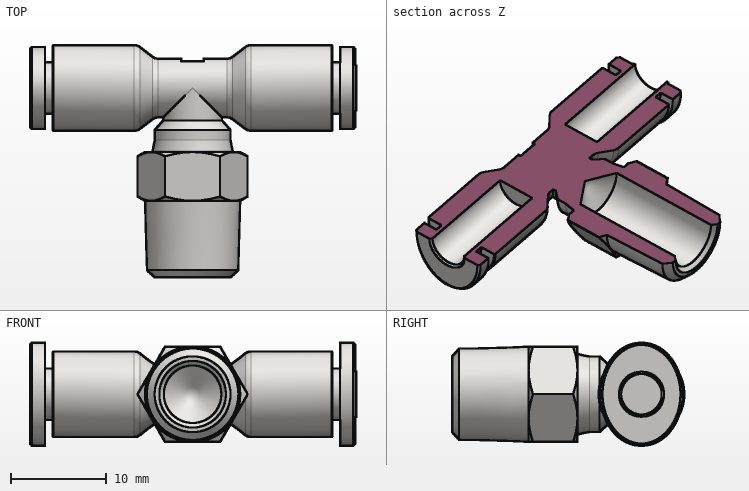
import cadquery as cq
import math


overall_length = 34.2
overall_depth = 24.3

neck_radius = 3.08
sleeve_diameter = 9.0
sleeve_radius = sleeve_diameter / 2
arm_start = 1.7
shoulder_start = 3.95
shoulder_end = 5.78
shoulder_fillet = 1.0
sleeve_end = 14.65
sleeve_edge_chamfer = 0.1

notch_width = 2.33
notch_depth = 0.27

stem_radius = 2.7
cap_inner = 15.42
cap_outer = 17.03
cap_width = 8.62
cap_height = 10.8
cap_chamfer = 0.25

socket_radius = 2.12
socket_chamfer = 0.25
socket_bottom = 5.47
lip_radius = socket_radius + socket_chamfer
lip_end = overall_length - cap_outer

flare_start = 3.4
collar_start = 4.38
collar_end = 5.45
collar_base = 6.6
hex_start = 6.7
hex_end = 11.8
branch_end = overall_depth - sleeve_radius
collar_radius = 3.97
collar_base_radius = 4.2
hex_flats = 10.0
hex_corners = hex_flats / math.cos(math.radians(30))
hex_chamfer_angle = 30

thread_root_radius = 5.0
thread_tip_radius = 4.8
tip_chamfer_length = 0.75
tip_face_radius = 3.97

bore_radius = 3.0
bore_mouth_radius = 3.5
bore_bottom = hex_start
drill_point_angle = 118


def revolve_on_run(points):
    """Revolve an (X, radius) outline around the X axis."""
    return cq.Workplane("XY").polyline(points).close().revolve(360, (0, 0), (1, 0))


def revolve_on_branch(points):
    """Revolve a (radius, distance) outline around the branch axis, distance running along -Y."""
    outline = [(radius, -distance) for radius, distance in points]
    return cq.Workplane("XY").polyline(outline).close().revolve(360, (0, 0), (0, 1))


def ring_edges_at(x):
    """Select the circular edges centred on the X axis at the given X."""
    reach = 0.05
    return cq.selectors.BoxSelector((x - reach, -reach, -reach), (x + reach, reach, reach))


def make_arm():
    """One arm on +X: neck, conical shoulder, sleeve, stem and oval cap."""
    sleeve = revolve_on_run([
        (arm_start, 0),
        (arm_start, neck_radius),
        (shoulder_start, neck_radius),
        (shoulder_end, sleeve_radius),
        (sleeve_end, sleeve_radius),
        (sleeve_end, 0),
    ])
    sleeve = sleeve.edges(ring_edges_at(sleeve_end)).chamfer(sleeve_edge_chamfer)
    for x in (shoulder_start, shoulder_end):
        sleeve = sleeve.edges(ring_edges_at(x)).fillet(shoulder_fillet)

    stem = cq.Workplane("YZ", origin=(sleeve_end, 0, 0)).circle(stem_radius).extrude(cap_inner - sleeve_end)
    cap = (
        cq.Workplane("YZ", origin=(cap_inner, 0, 0))
        .ellipse(cap_width / 2, cap_height / 2)
        .extrude(cap_outer - cap_inner)
        .faces(">X")
        .chamfer(cap_chamfer)
    )
    return sleeve.union(stem).union(cap)


def make_socket():
    """Blind tube socket of the +X arm, without its mouth chamfer."""
    bottom_plane = cq.Workplane("YZ", origin=(socket_bottom, 0, 0))
    return bottom_plane.circle(socket_radius).extrude(lip_end - socket_bottom)


def make_socket_mouth():
    """Conical mouth of the tube socket, widening towards the cap face on +X."""
    return revolve_on_run([
        (cap_outer - socket_chamfer, 0),
        (cap_outer - socket_chamfer, socket_radius),
        (cap_outer, lip_radius),
        (cap_outer, 0),
    ])


def make_lip():
    """Low raised lip around the +X socket."""
    return cq.Workplane("YZ", origin=(cap_outer, 0, 0)).circle(lip_radius).extrude(lip_end - cap_outer)


def make_notch():
    """Shallow flat-bottomed notch across the +Y side of the neck."""
    cutter = cq.Workplane("XY").box(notch_width, 2 * notch_depth, 2 * neck_radius)
    return cutter.translate((0, neck_radius, 0))


def make_hex():
    """Hexagon with corners on X, both ends turned to a cone."""
    prism = (
        cq.Workplane("XZ", origin=(0, -hex_start, 0))
        .polygon(6, hex_corners)
        .extrude(hex_end - hex_start)
    )
    corner_radius = hex_corners / 2
    flat_radius = hex_flats / 2
    corner_drop = (corner_radius - flat_radius) * math.tan(math.radians(hex_chamfer_angle))
    turned = revolve_on_branch([
        (0, hex_start),
        (flat_radius, hex_start),
        (corner_radius, hex_start + corner_drop),
        (corner_radius, hex_end - corner_drop),
        (flat_radius, hex_end),
        (0, hex_end),
    ])
    return prism.intersect(turned)


def make_branch():
    """Branch: mitred root, flared collar, hexagon and tapered thread body."""
    root = revolve_on_branch([
        (0, 0),
        (neck_radius, 0),
        (neck_radius, flare_start),
        (collar_radius, collar_start),
        (collar_radius, collar_end),
        (collar_base_radius, collar_base),
        (collar_base_radius, hex_start),
        (0, hex_start),
    ])
    thread = revolve_on_branch([
        (0, hex_end),
        (thread_root_radius, hex_end),
        (thread_tip_radius, branch_end - tip_chamfer_length),
        (tip_face_radius, branch_end),
        (0, branch_end),
    ])
    return root.union(make_hex()).union(thread)


def make_bore():
    """Blind bore through thread and hexagon, with a 45 degree mouth and a drill point."""
    point_length = bore_radius / math.tan(math.radians(drill_point_angle / 2))
    mouth_length = bore_mouth_radius - bore_radius
    return revolve_on_branch([
        (0, bore_bottom - point_length),
        (bore_radius, bore_bottom),
        (bore_radius, branch_end - mouth_length),
        (bore_mouth_radius, branch_end),
        (0, branch_end),
    ])


def make_neck():
    """Plain cylinder joining the two arms."""
    return cq.Workplane("YZ").circle(neck_radius).extrude(arm_start, both=True)


right_arm = make_arm()
run = make_neck().union(right_arm).union(right_arm.mirror("YZ")).cut(make_notch()).union(make_lip())
socket = make_socket()
sockets = socket.union(socket.mirror("YZ")).union(make_socket_mouth().mirror("YZ"))

result = run.union(make_branch()).cut(sockets).cut(make_bore())